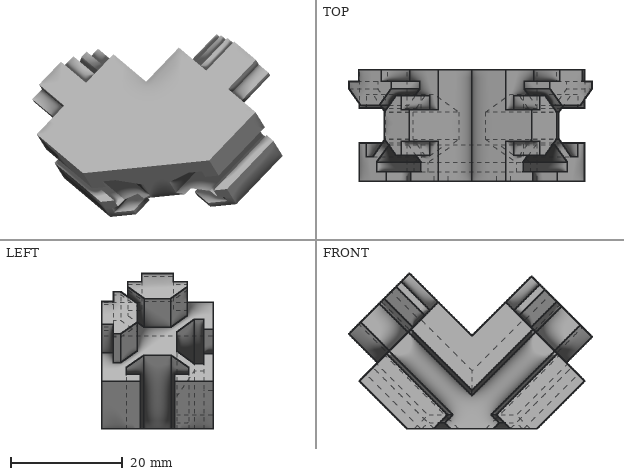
import cadquery as cq

profile_side = 20.0
arm_length = 8.55
corner_depth = 16.65
left_tongue_length = 7.27
right_tongue_length = 6.55

half_side = profile_side / 2
run_out = 3 * profile_side

slot_mouth_width = 6.2
slot_width = 11.2
slot_floor_width = 4.85
slot_lip = 1.75
slot_shoulder_depth = 3.45
slot_depth = 6.55

tongue_neck_width = 5.7
tongue_width = 10.7
tongue_root_width = 4.7
tongue_neck = 2.1
tongue_shoulder_depth = 3.4
tongue_depth = 6.4


def tee_profile(neck_width, width, root_width, neck, shoulder, depth):
    """Points of a T with a tapered root, as (distance across, depth below the face)."""
    one_side = [
        (neck_width / 2, 0),
        (neck_width / 2, neck),
        (width / 2, neck),
        (width / 2, shoulder),
        (root_width / 2, depth),
    ]
    other_side = [(-across, down) for across, down in reversed(one_side)]
    return one_side + other_side


slot_points = tee_profile(
    slot_mouth_width, slot_width, slot_floor_width, slot_lip, slot_shoulder_depth, slot_depth
)
tongue_points = tee_profile(
    tongue_neck_width, tongue_width, tongue_root_width, tongue_neck, tongue_shoulder_depth, tongue_depth
)


def on_outer_face(points):
    return [(across, down - profile_side) for across, down in points]


def on_inner_face(points):
    return [(across, -down) for across, down in points]


def on_front_face(points):
    return [(down - half_side, across - half_side) for across, down in points]


def on_back_face(points):
    return [(half_side - down, across - half_side) for across, down in points]


def bar(section, start, end):
    """Extrude a YZ section along X from start to end."""
    return cq.Workplane("YZ", origin=(start, 0, 0)).polyline(section).close().extrude(end - start)


def arm_body():
    square = [
        (-half_side, 0),
        (half_side, 0),
        (half_side, -profile_side),
        (-half_side, -profile_side),
    ]
    return bar(square, -profile_side, arm_length)


def arm_slots():
    outer_slot = bar(on_outer_face(slot_points), -run_out, arm_length)
    front_slot = bar(on_front_face(slot_points), -run_out, arm_length)
    return outer_slot.union(front_slot)


def arm_tongues(length):
    end = arm_length + length
    inner_tongue = bar(on_inner_face(tongue_points), 0, end)
    back_tongue = bar(on_back_face(tongue_points), 0, end)
    return inner_tongue.union(back_tongue)


def to_right(shape):
    return shape.rotate((0, 0, 0), (0, 1, 0), -45)


def to_left(shape):
    return to_right(shape).mirror("YZ")


body = to_right(arm_body()).union(to_left(arm_body()))
body = body.cut(to_right(arm_slots())).cut(to_left(arm_slots()))

body = body.union(to_right(arm_tongues(right_tongue_length)))
body = body.union(to_left(arm_tongues(left_tongue_length)))

below_bottom = cq.Workplane("XY", origin=(0, 0, -corner_depth)).rect(run_out, run_out).extrude(-run_out)
result = body.cut(below_bottom)